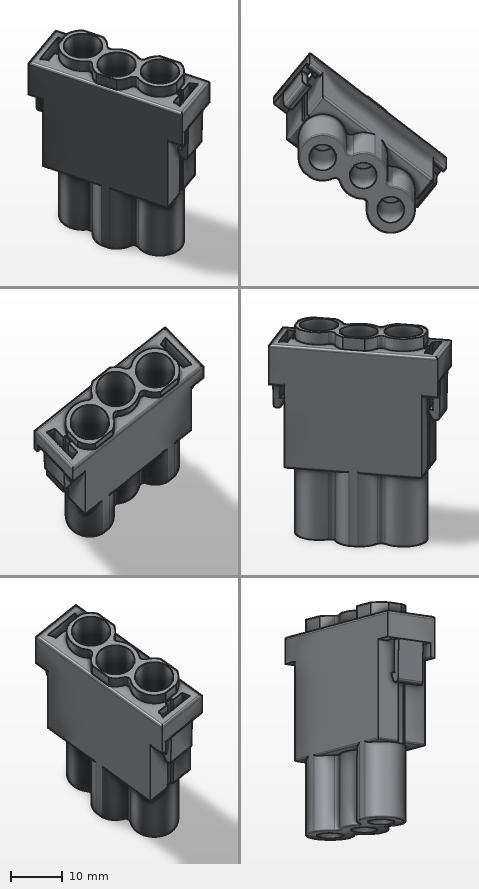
import cadquery as cq

LENGTH = 34.0
DEPTH = 11.4
HEIGHT = 42.9

BODY_BOTTOM = 15.05
FLANGE_BOTTOM = 35.0
FLANGE_TOP = 40.35
LIP_BOTTOM = 31.95

BODY_LENGTH = 27.63
FLANGE_EDGE_RADIUS = 0.5
BODY_EDGE_RADIUS = 0.45
LIP_THICKNESS = 1.05
LIP_EDGE_RADIUS = 0.45

CHAMBER_PITCH = 8.5
CHAMBER_OFFSET = 1.05
CHAMBER_RADIUS = 4.75
CHAMBER_CENTRES = [
    (-CHAMBER_PITCH, CHAMBER_OFFSET),
    (0, -CHAMBER_OFFSET),
    (CHAMBER_PITCH, CHAMBER_OFFSET),
]
WAIST_RADIUS = 1.0
BORE_DIAMETER = 7.5
HOLE_DIAMETER = 5.25
COLLAR_LENGTH = 26.0
COLLAR_DEPTH = 10.45
FOOT_EDGE_RADIUS = 0.25

GROOVE_WIDTH = 1.55
GROOVE_DEPTH = 0.55

SLOT_OUTER_X = 15.45
SLOT_OUTER_WIDTH = 7.6
SLOT_INNER_WIDTH = 6.65

LATCH_WIDTH = 5.9
LATCH_ROOT_X = 16.9
LATCH_TIP_X = 16.7
LATCH_INNER_X = 15.4
LATCH_BOTTOM = 26.5
BARB_X = 14.5
BARB_TOP = 28.53
BARB_NOSE = 0.35
LATCH_TIP_RADIUS = 0.6


def block(length, depth, bottom, top):
    """Box centred on the Z axis, spanning two levels."""
    return cq.Workplane("XY").workplane(offset=bottom).rect(length, depth).extrude(top - bottom)


def chamber_cluster(bottom, top):
    """Three overlapping cylinders with rounded waists between them."""
    cluster = None
    for x, y in CHAMBER_CENTRES:
        cylinder = cq.Workplane("XY", origin=(x, y, bottom)).circle(CHAMBER_RADIUS).extrude(top - bottom)
        cluster = cylinder if cluster is None else cluster.union(cylinder)
    at_crossings = cq.selectors.BoxSelector(
        (-CHAMBER_PITCH, -CHAMBER_RADIUS, bottom),
        (CHAMBER_PITCH, CHAMBER_RADIUS, top),
    )
    return cluster.edges("|Z").edges(at_crossings).fillet(WAIST_RADIUS)


def both_ends(solid):
    """The +X solid together with its mirror image at -X."""
    return solid.union(solid.mirror("YZ"))


def make_flange():
    flange = block(LENGTH, DEPTH, FLANGE_BOTTOM, FLANGE_TOP)
    return flange.faces(">Z").edges().fillet(FLANGE_EDGE_RADIUS)


def make_lip():
    """Strip along the -Y face that reaches below the flange at both ends."""
    lip = (
        block(LENGTH, LIP_THICKNESS, LIP_BOTTOM, FLANGE_BOTTOM)
        .translate((0, (LIP_THICKNESS - DEPTH) / 2, 0))
    )
    return lip.faces("<Z").edges("|X").fillet(LIP_EDGE_RADIUS)


def make_body():
    body = block(BODY_LENGTH, DEPTH, BODY_BOTTOM, FLANGE_BOTTOM)
    return body.faces("<Z").edges().fillet(BODY_EDGE_RADIUS)


def make_end_openings():
    """Flange slots and body grooves, as solids to cut away."""
    inner_x = BODY_LENGTH / 2
    slot = (
        cq.Workplane("XY", origin=(0, 0, FLANGE_BOTTOM))
        .polyline([
            (inner_x, -SLOT_INNER_WIDTH / 2),
            (SLOT_OUTER_X, -SLOT_OUTER_WIDTH / 2),
            (SLOT_OUTER_X, SLOT_OUTER_WIDTH / 2),
            (inner_x, SLOT_INNER_WIDTH / 2),
        ])
        .close()
        .extrude(FLANGE_TOP - FLANGE_BOTTOM)
    )
    groove_length = SLOT_OUTER_X - inner_x + GROOVE_DEPTH
    groove = (
        block(groove_length, GROOVE_WIDTH, BODY_BOTTOM, FLANGE_TOP)
        .translate((SLOT_OUTER_X - groove_length / 2, 0, 0))
    )
    return both_ends(slot.union(groove))


def make_latches():
    profile = [
        (LATCH_ROOT_X, FLANGE_BOTTOM),
        (LATCH_TIP_X, LATCH_BOTTOM),
        (LATCH_INNER_X, LATCH_BOTTOM),
        (BARB_X, BARB_TOP - BARB_NOSE),
        (BARB_X, BARB_TOP),
        (LATCH_INNER_X, BARB_TOP),
        (LATCH_INNER_X, FLANGE_BOTTOM),
    ]
    latch = cq.Workplane("XZ").polyline(profile).close().extrude(LATCH_WIDTH / 2, both=True)
    latch = latch.faces("<Z").edges("|Y").fillet(LATCH_TIP_RADIUS)
    return both_ends(latch)


def make_collar():
    """Top of the chambers, trimmed flat on its four sides."""
    trim = block(COLLAR_LENGTH, COLLAR_DEPTH, FLANGE_TOP, HEIGHT)
    return chamber_cluster(FLANGE_TOP, HEIGHT).intersect(trim)


def make_foot():
    """Lower chambers, trimmed flush with the body's front and back."""
    trim = block(LENGTH, DEPTH, 0, BODY_BOTTOM + BODY_EDGE_RADIUS)
    foot = chamber_cluster(0, BODY_BOTTOM + BODY_EDGE_RADIUS).intersect(trim)
    return foot.faces("<Z").edges().fillet(FOOT_EDGE_RADIUS)


def drill_chambers(part):
    """Through hole in each chamber, widened from the top to the underside of the body."""
    return (
        part.faces(">Z").workplane(origin=(0, 0, HEIGHT))
        .pushPoints(CHAMBER_CENTRES)
        .cboreHole(HOLE_DIAMETER, BORE_DIAMETER, HEIGHT - BODY_BOTTOM)
    )


housing = make_flange().union(make_lip()).union(make_body())
housing = housing.cut(make_end_openings())
housing = housing.union(make_latches()).union(make_collar()).union(make_foot())
result = drill_chambers(housing)